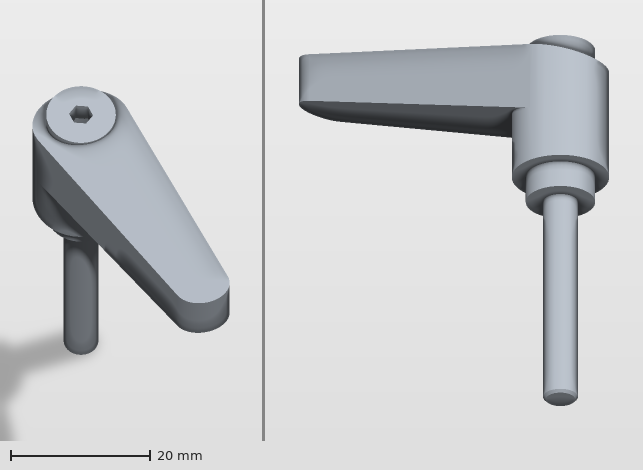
import cadquery as cq
import math


stud_diameter = 5.0
stud_length = 32.0
stud_chamfer = 0.4
collar_diameter = 10.0
collar_height = 4.0

hub_radius = 7.0
handle_tip_radius = 4.0
overall_length = 52.0
overall_height = 67.69
handle_top_angle = 16.15
handle_bottom_angle = 19.7
tip_thickness = 7.3

screw_head_diameter = 10.0
screw_head_top = 24.5
hex_across_flats = 3.0
hex_depth = 3.0
drill_point_angle = 120.0

tip_end_x = overall_length - hub_radius
tip_center_x = tip_end_x - handle_tip_radius
tip_top_z = overall_height - stud_length
tip_bottom_z = tip_top_z - tip_thickness
top_slope = math.tan(math.radians(handle_top_angle))
bottom_slope = math.tan(math.radians(handle_bottom_angle))

tangent_sin = (hub_radius - handle_tip_radius) / tip_center_x
tangent_cos = math.sqrt(1 - tangent_sin**2)

hex_half_angle = math.pi / 6


def top_z(x):
    """Height of the sloping top face at x."""
    return tip_top_z - (tip_end_x - x) * top_slope


def bottom_z(x):
    """Height of the sloping handle underside at x."""
    return tip_bottom_z - (tip_end_x - x) * bottom_slope


def cylinder(diameter, z_start, z_end):
    """Solid cylinder on the Z axis between two heights."""
    return cq.Workplane("XY").workplane(offset=z_start).circle(diameter / 2).extrude(z_end - z_start)


def make_lever():
    """Hub and handle: tapered plan outline cut to the sloping side profile."""
    hub_tangent = (hub_radius * tangent_sin, hub_radius * tangent_cos)
    tip_tangent = (tip_center_x + handle_tip_radius * tangent_sin, handle_tip_radius * tangent_cos)
    plan = (
        cq.Workplane("XY")
        .moveTo(hub_tangent[0], -hub_tangent[1])
        .lineTo(tip_tangent[0], -tip_tangent[1])
        .threePointArc((tip_end_x, 0), tip_tangent)
        .lineTo(*hub_tangent)
        .threePointArc((-hub_radius, 0), (hub_tangent[0], -hub_tangent[1]))
        .close()
        .extrude(tip_top_z)
    )
    handle_profile = (
        cq.Workplane("XZ")
        .polyline([
            (0, bottom_z(0)),
            (tip_end_x, tip_bottom_z),
            (tip_end_x, tip_top_z),
            (0, top_z(0)),
        ])
        .close()
        .extrude(hub_radius, both=True)
    )
    hub_profile = (
        cq.Workplane("XZ")
        .polyline([
            (-hub_radius, collar_height),
            (hub_radius, collar_height),
            (hub_radius, top_z(hub_radius)),
            (-hub_radius, top_z(-hub_radius)),
        ])
        .close()
        .extrude(hub_radius, both=True)
    )
    handle = plan.intersect(handle_profile)
    hub = cylinder(2 * hub_radius, collar_height, tip_top_z).intersect(hub_profile)
    return hub.union(handle)


def make_stud():
    """Stud with a chamfered free end."""
    return cylinder(stud_diameter, -stud_length, 0).faces("<Z").chamfer(stud_chamfer)


def make_hex_socket():
    """Hexagon socket with two corners on the X axis and a conical drilled bottom."""
    corner_radius = hex_across_flats / 2 / math.cos(hex_half_angle)
    cone_depth = corner_radius / math.tan(math.radians(drill_point_angle / 2))
    cone_base_z = screw_head_top - hex_depth
    cone_tip_z = cone_base_z - cone_depth
    prism = (
        cq.Workplane("XY")
        .workplane(offset=cone_tip_z)
        .polygon(6, 2 * corner_radius)
        .extrude(screw_head_top - cone_tip_z)
    )
    drilled_hole = (
        cq.Workplane("XZ")
        .moveTo(0, cone_tip_z)
        .lineTo(corner_radius, cone_base_z)
        .lineTo(corner_radius, screw_head_top)
        .lineTo(0, screw_head_top)
        .close()
        .revolve(360, (0, 0, 0), (0, 1, 0))
    )
    return prism.intersect(drilled_hole)


collar = cylinder(collar_diameter, 0, collar_height)
screw_head = cylinder(screw_head_diameter, collar_height, screw_head_top)

result = (
    make_lever()
    .union(collar)
    .union(screw_head)
    .union(make_stud())
    .cut(make_hex_socket())
)